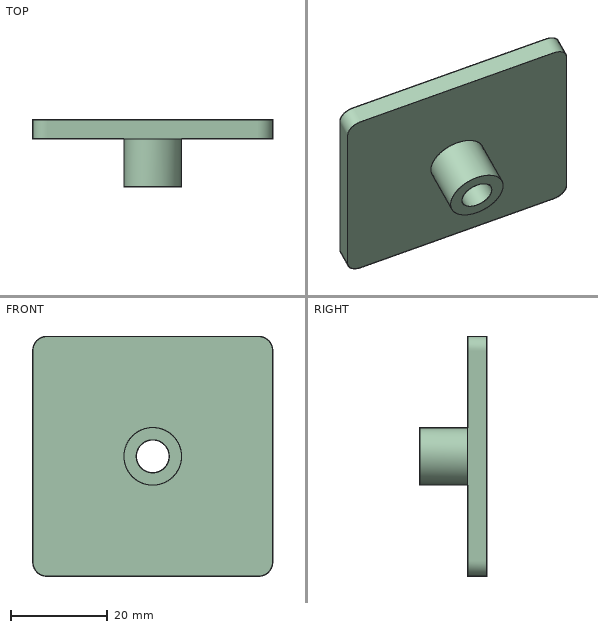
import cadquery as cq

plate_side = 50.0
plate_thickness = 4.0
corner_radius = 3.0

boss_diameter = 12.0
boss_length = 10.0
bore_diameter = 6.8

plate = (
    cq.Workplane("XZ")
    .rect(plate_side, plate_side)
    .extrude(-plate_thickness)
    .edges("|Y")
    .fillet(corner_radius)
)

boss = cq.Workplane("XZ").circle(boss_diameter / 2).extrude(boss_length)

bore = (
    cq.Workplane("XZ", origin=(0, plate_thickness, 0))
    .circle(bore_diameter / 2)
    .extrude(plate_thickness + boss_length)
)

result = plate.union(boss).cut(bore)